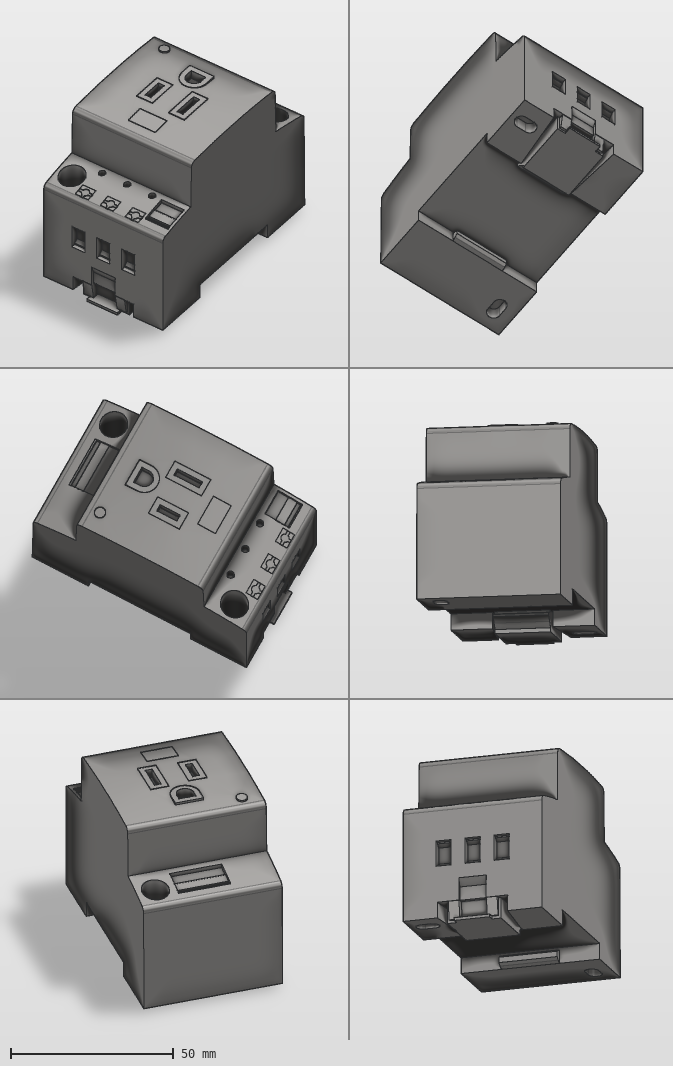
import cadquery as cq
import math


WIDTH = 45.0
OVERALL_LENGTH = 75.5
BACK_Y = 74.9
FACE_DRAFT = 0.4
MID_Y = 37.2
RIM_R = 2.0
TOWER_HALF = 22.4
STEP_Z = 39.2
SHOULDER_R = 145.7
DOME_TOP = 57.5
DOME_SIDE_R = 249.1
CROWN = 0.4
SKY_Z = 67.9
OVERSHOOT = 0.75

RAIL_FRONT_Y = 19.6
RAIL_BACK_Y = 55.2
RAIL_Z = 5.05
HOOK_WIDTH = 18.9
HOOK_CORNERS = ((0, 0), (1.2, 0.7), (2.2, 1.5), (2.2, 3.25), (1.2, 3.9), (0, 4.15))

CLIP_DROP = 1.6
CLIP_FRONT_Y = 1.7
CLIP_WIDTH = 17.35
PLATE_TOP_Z = -0.7
TAB_WIDTH = 11.55
TAB_TIP_Y = BACK_Y - OVERALL_LENGTH
RAMP_WIDTH = 15.85
RAMP_TOP_Y = 0.15
RAMP_RUN = 0.9
NOTCH_WIDTH = 8.9
NOTCH_TOP_Z = 12.2
NOTCH_BEVEL_Z = 9.6
NOTCH_SILL_Z = 5.3
NOTCH_DEPTH = 1.05
RAMP_CUT = 2.35
CLIP_BAY_FRONT = 22.8
CLIP_BAY_BACK = HOOK_WIDTH
NOSE_CORNERS = ((0, -0.3), (1.6, 1.4), (3.25, 3.2), (3.25, 3.85), (1.05, 4.4), (1.05, RAIL_Z), (0, RAIL_Z))

TERMINAL_XS = (-9.4, 0, 9.4)
WINDOW_WIDTH = 4.9
WINDOW_BOTTOM_Z = 16.75
WINDOW_TOP_Z = 24.8
WINDOW_LIP_Y = 1.5
WINDOW_LIP = 0.45
WINDOW_DEPTH = 2.8
WINDOW_TAPER = 1.0
SCREW_Y = 12.6
SCREW_R = 1.1
SCREW_DEPTH = 4.5
PLAQUE_Y = 3.85
PLAQUE_LENGTH = 4.0
PLAQUE_SINK = 0.1
SYMBOL_SINK = 0.3
SYMBOL_LINE = 0.9
SYMBOL_R = 1.3

MOUNT_HOLES = ((-16.9, 7.2, 0), (16.3, 67.5, 90))
MOUNT_HEAD_R = 4.3
MOUNT_SLOT_LENGTH = 7.55
MOUNT_SLOT_WIDTH = 4.4

POCKETS = ((12.9, 21.4, 12.75, -1), (-7.1, 9.7, 61.8, 1))
POCKET_EDGES = (0, 3.6, 6.65, 8.0, 8.5)
POCKET_DEPTHS = (1.3, 0.9, 1.6, 0.3)

BOSS_TOP = 57.6
BOSS_MARGIN = 1.9
HOLE_DEPTH = 3
GROUND_Y = 47.85
GROUND_R = 2.7
GROUND_FLAT_Y = 50.2
BLADE_X = 6.35
BLADE_Y = 36.0
BLADE_WIDTH = 2.2
LEFT_BLADE = 7.0
RIGHT_BLADE = 8.75
BUTTON_X = -16.1
BUTTON_Y = 54.65
BUTTON_R = 1.7
BUTTON_RISE = 0.5
LABEL_Y = 23.4
LABEL_WIDTH = 10.2
LABEL_LENGTH = 6.2
LABEL_RISE = 0.15


def shoulder_z(y):
    """Height of the arc shared by both shoulders; it meets the tower walls at STEP_Z."""
    centre_z = STEP_Z - math.sqrt(SHOULDER_R**2 - TOWER_HALF**2)
    return centre_z + math.sqrt(SHOULDER_R**2 - (y - MID_Y) ** 2)


def box(x0, x1, y0, y1, z0, z1):
    return cq.Workplane("XY").box(x1 - x0, y1 - y0, z1 - z0, centered=False).translate((x0, y0, z0))


def across(outline, width):
    """Extrude a YZ outline symmetrically about X = 0."""
    return outline.extrude(width / 2, both=True)


def side_polygon(points, width):
    return across(cq.Workplane("YZ").polyline(points).close(), width)


def dome_side_z(y):
    """Height of the tower top along the two outer side faces."""
    return DOME_TOP - CROWN - DOME_SIDE_R + math.sqrt(DOME_SIDE_R**2 - (y - MID_Y) ** 2)


def make_housing():
    front_tower = MID_Y - TOWER_HALF
    back_tower = MID_Y + TOWER_HALF
    front_top = front_tower + FACE_DRAFT
    back_top = back_tower - FACE_DRAFT
    rear = BACK_Y - FACE_DRAFT
    front_mid = front_tower / 2
    rear_mid = (back_tower + rear) / 2
    rims = (
        (0, shoulder_z(0)),
        (front_top, dome_side_z(front_top)),
        (back_top, dome_side_z(back_top)),
        (rear, shoulder_z(rear)),
    )
    outline = (
        cq.Workplane("YZ")
        .moveTo(0, 0)
        .lineTo(*rims[0])
        .threePointArc((front_mid, shoulder_z(front_mid)), (front_tower, STEP_Z))
        .lineTo(*rims[1])
        .threePointArc((MID_Y, dome_side_z(MID_Y)), rims[2])
        .lineTo(back_tower, STEP_Z)
        .threePointArc((rear_mid, shoulder_z(rear_mid)), rims[3])
        .lineTo(BACK_Y, 0)
        .lineTo(RAIL_BACK_Y, 0)
        .lineTo(RAIL_BACK_Y, RAIL_Z)
        .lineTo(RAIL_FRONT_Y, RAIL_Z)
        .lineTo(RAIL_FRONT_Y, 0)
        .close()
    )
    body = across(outline, WIDTH)
    for y, z in rims:
        body = body.edges(cq.selectors.NearestToPointSelector((0, y, z))).fillet(RIM_R)
    rim_slope = (TOWER_HALF - FACE_DRAFT - RIM_R) / (DOME_SIDE_R - RIM_R)
    rim_run = RIM_R * (1 - rim_slope)
    return body.union(make_crown(front_top + rim_run, back_top - rim_run))


def make_crown(front_y, back_y):
    """Lens on the tower top that swells from nothing at the sides to CROWN at X = 0."""
    base_z = dome_side_z(front_y)
    wires = []
    for x, apex_z in ((-WIDTH / 2, DOME_TOP - CROWN), (0, DOME_TOP), (WIDTH / 2, DOME_TOP - CROWN)):
        start = cq.Workplane("YZ", origin=(x, 0, 0)).moveTo(front_y, base_z)
        section = start.threePointArc((MID_Y, apex_z), (back_y, base_z)).close()
        wires.append(section.wire().val())
    return cq.Workplane(cq.Solid.makeLoft(wires))


housing = make_housing()


def sink(body, column, depth):
    """Cut a column into the upper skin, leaving a floor parallel to that skin."""
    return body.cut(column.cut(housing.translate((0, 0, -depth))))


def raise_pad(body, column, rise):
    """Add a pad whose top is parallel to the upper skin."""
    return body.union(column.intersect(housing.translate((0, 0, rise))))


def cut_mount_hole(body, x, y, angle):
    head = cq.Workplane("XY", origin=(x, y, RAIL_Z)).circle(MOUNT_HEAD_R).extrude(SKY_Z)
    slot = cq.Workplane("XY", origin=(x, y, 0)).slot2D(MOUNT_SLOT_LENGTH, MOUNT_SLOT_WIDTH, angle)
    return body.cut(head).cut(slot.extrude(SKY_Z))


def cut_window(body, x):
    low = WINDOW_BOTTOM_Z + WINDOW_LIP
    high = WINDOW_TOP_Z - WINDOW_LIP
    profile = [
        (-OVERSHOOT, WINDOW_BOTTOM_Z),
        (WINDOW_LIP_Y, WINDOW_BOTTOM_Z),
        (WINDOW_LIP_Y, low),
        (WINDOW_DEPTH, low + WINDOW_TAPER),
        (WINDOW_DEPTH, high - WINDOW_TAPER),
        (WINDOW_LIP_Y, high),
        (WINDOW_LIP_Y, WINDOW_TOP_Z),
        (-OVERSHOOT, WINDOW_TOP_Z),
    ]
    return body.cut(side_polygon(profile, WINDOW_WIDTH).translate((x, 0, 0)))


def cut_terminal_marks(body, x):
    """Clamp-screw hole and a shallow plaque with a screw-terminal symbol."""
    base_z = STEP_Z - SCREW_DEPTH
    screw = cq.Workplane("XY", origin=(x, SCREW_Y, base_z)).circle(SCREW_R).extrude(SKY_Z - base_z)
    plane = cq.Workplane("XY", origin=(x, PLAQUE_Y, RAIL_Z))
    plaque = plane.rect(WINDOW_WIDTH, PLAQUE_LENGTH).extrude(SKY_Z)
    bar = plane.rect(WINDOW_WIDTH, SYMBOL_LINE).extrude(SKY_Z)
    leg = plane.center(0, -PLAQUE_LENGTH / 4).rect(SYMBOL_LINE, PLAQUE_LENGTH / 2).extrude(SKY_Z)
    symbol = bar.union(leg).union(plane.circle(SYMBOL_R).extrude(SKY_Z))
    body = sink(body.cut(screw), plaque, PLAQUE_SINK)
    return sink(body, symbol, SYMBOL_SINK)


def cut_pocket(body, x0, x1, inner_y, outward):
    for near, far, depth in zip(POCKET_EDGES, POCKET_EDGES[1:], POCKET_DEPTHS):
        y0, y1 = sorted((inner_y + outward * near, inner_y + outward * far))
        body = sink(body, box(x0, x1, y0, y1, RAIL_Z, SKY_Z), depth)
    return body


def ground_outline(margin, bottom_z):
    radius = GROUND_R + margin
    flat = GROUND_FLAT_Y + margin
    return (
        cq.Workplane("XY", origin=(0, 0, bottom_z))
        .moveTo(-radius, flat)
        .lineTo(-radius, GROUND_Y)
        .threePointArc((0, GROUND_Y - radius), (radius, GROUND_Y))
        .lineTo(radius, flat)
        .close()
    )


def blade_outline(x, length, margin, bottom_z):
    centre = (x, BLADE_Y, bottom_z)
    return cq.Workplane("XY", origin=centre).rect(BLADE_WIDTH + 2 * margin, length + 2 * margin)


def add_socket(body):
    root_z = DOME_TOP - HOLE_DEPTH
    boss_height = BOSS_TOP - root_z
    floor_z = BOSS_TOP - HOLE_DEPTH
    body = body.union(ground_outline(BOSS_MARGIN, root_z).extrude(boss_height))
    body = body.cut(ground_outline(0, floor_z).extrude(HOLE_DEPTH))
    for x, length in ((-BLADE_X, LEFT_BLADE), (BLADE_X, RIGHT_BLADE)):
        body = body.union(blade_outline(x, length, BOSS_MARGIN, root_z).extrude(boss_height))
        body = body.cut(blade_outline(x, length, 0, floor_z).extrude(HOLE_DEPTH))
    button = cq.Workplane("XY", origin=(BUTTON_X, BUTTON_Y, root_z)).circle(BUTTON_R).extrude(SKY_Z - root_z)
    label = cq.Workplane("XY", origin=(0, LABEL_Y, root_z)).rect(LABEL_WIDTH, LABEL_LENGTH)
    body = raise_pad(body, button, BUTTON_RISE)
    return raise_pad(body, label.extrude(SKY_Z - root_z), LABEL_RISE)


def add_rail_hook(body):
    profile = [(RAIL_BACK_Y - reach, z) for reach, z in HOOK_CORNERS]
    return body.union(side_polygon(profile, HOOK_WIDTH))


def cut_clip_bay(body):
    """Tapered bay under the front foot, and the bevelled pry notch in the front face."""
    bay = (
        cq.Workplane("XY")
        .polyline([
            (-CLIP_BAY_FRONT / 2, 0),
            (CLIP_BAY_FRONT / 2, 0),
            (CLIP_BAY_BACK / 2, RAIL_FRONT_Y),
            (-CLIP_BAY_BACK / 2, RAIL_FRONT_Y),
        ])
        .close()
        .extrude(RAIL_Z)
    )
    notch = [(0, 0), (0, NOTCH_TOP_Z), (NOTCH_DEPTH, NOTCH_BEVEL_Z), (NOTCH_DEPTH, 0)]
    recess = box(-NOTCH_WIDTH / 2, NOTCH_WIDTH / 2, 0, RAMP_TOP_Y + RAMP_CUT, 0, NOTCH_SILL_Z)
    return body.cut(bay).cut(side_polygon(notch, NOTCH_WIDTH)).cut(recess)


def make_clip():
    half = CLIP_WIDTH / 2
    ramp_foot_y = RAMP_TOP_Y + RAMP_RUN
    block = box(-half, half, CLIP_FRONT_Y, RAIL_FRONT_Y, -CLIP_DROP, RAIL_Z)
    tab = box(-TAB_WIDTH / 2, TAB_WIDTH / 2, TAB_TIP_Y, CLIP_FRONT_Y, -CLIP_DROP, PLATE_TOP_Z)
    ramp = [
        (RAMP_TOP_Y, RAIL_Z),
        (ramp_foot_y, PLATE_TOP_Z),
        (CLIP_FRONT_Y, PLATE_TOP_Z),
        (CLIP_FRONT_Y, RAIL_Z),
    ]
    finger_recess = [
        (TAB_TIP_Y, RAIL_Z),
        (TAB_TIP_Y, PLATE_TOP_Z),
        (ramp_foot_y + RAMP_CUT, PLATE_TOP_Z),
        (RAMP_TOP_Y + RAMP_CUT, RAIL_Z),
    ]
    nose = [(RAIL_FRONT_Y + reach, z) for reach, z in NOSE_CORNERS]
    clip = block.union(side_polygon(ramp, RAMP_WIDTH))
    clip = clip.union(tab).cut(side_polygon(finger_recess, NOTCH_WIDTH))
    return clip.union(side_polygon(nose, CLIP_WIDTH))


result = cut_clip_bay(add_rail_hook(housing))
result = result.union(make_clip())
result = add_socket(result)
for terminal_x in TERMINAL_XS:
    result = cut_window(result, terminal_x)
    result = cut_terminal_marks(result, terminal_x)
for hole_x, hole_y, slot_angle in MOUNT_HOLES:
    result = cut_mount_hole(result, hole_x, hole_y, slot_angle)
for left_x, right_x, inner_edge_y, direction in POCKETS:
    result = cut_pocket(result, left_x, right_x, inner_edge_y, direction)